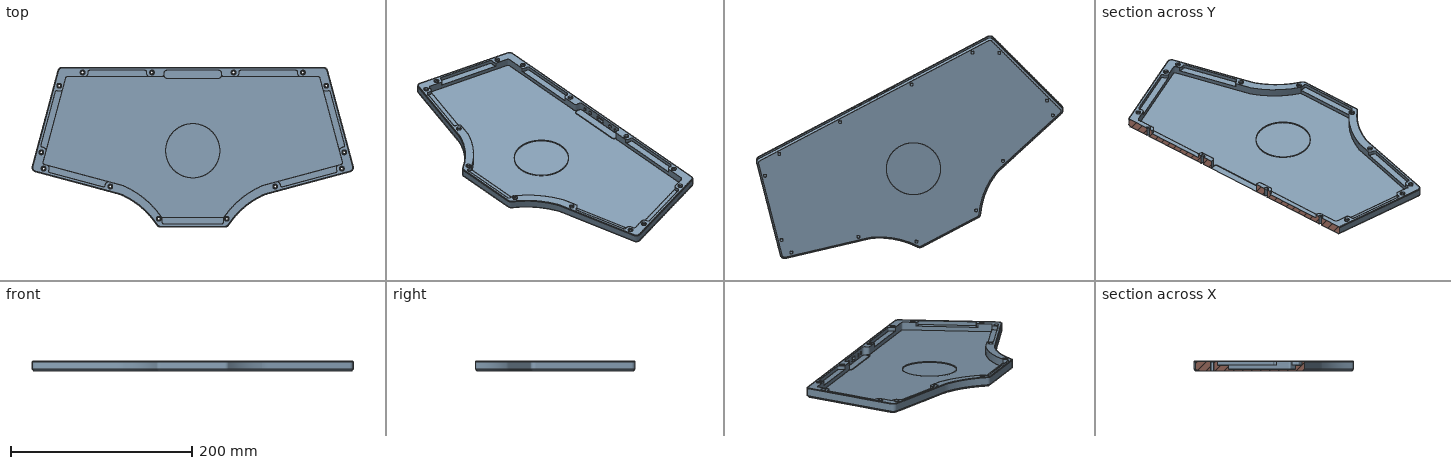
import cadquery as cq
import math

LENGTH = 354.5
WIDTH = 176.0
HEIGHT = 11.0

SIDE_TILT = 15.0
CORNER_RADIUS = 5.0
WING_CORNER_Y = -22.5
WING_EDGE_LENGTH = 101.7
FOOT_HALF_LENGTH = 38.3
SCOOP_RADIUS = 90.0
SCOOP_BLEND_RADIUS = 35.5
TOP_CHAMFER = 0.7
BOTTOM_CHAMFER = 2.0

FLOOR = 2.0
RIM = 10.3
POCKET_CORNER_RADIUS = 2.0
POCKET_WING_LENGTH = 92.0
POCKET_FOOT_HALF_LENGTH = 34.0
POCKET_SCOOP_RADIUS = 99.2

HOLE_INSET = 5.5
HOLE_DIAMETER = 3.2
HOLE_MOUTH_DIAMETER = 5.3
BOSS_DIAMETER = 12.0
LEDGE_DEPTH = 4.3
OUTER_WALL = 3.2
LEDGE_CORNER_RADIUS = 1.8
BACK_HOLES = (45.0, 121.5)
SIDE_HOLES = (22.5, 98.5)
WING_HOLES = (12.8, 89.0)
FOOT_HOLE = (37.5, -79.0)
FOOT_LEDGE_LENGTH = 67.5

BAY_LENGTH = 63.0
BAY_WIDTH = 9.0
BAY_RADIUS = 3.0
BAY_MOUTH_RADIUS = 3.0
BAY_FLOOR_DEPTH = 0.7
PORT_Z = 5.3
SOCKET_LENGTH = 9.2
SOCKET_HEIGHT = 4.3
ROUND_PORTS = ((16.0, 4.0), (24.5, 3.2))

RECESS_DIAMETER = 60.0
RECESS_Y = -4.0
RECESS_DEPTH = 1.0

back_y = WIDTH / 2
foot_y = -WIDTH / 2
tilt = math.radians(SIDE_TILT)
along_side = (-math.sin(tilt), math.cos(tilt))
along_wing = (-math.cos(tilt), -math.sin(tilt))
tip_reach = CORNER_RADIUS * math.sqrt(2)
tip_angle = tilt - math.pi / 4
tip = (
    LENGTH / 2 - CORNER_RADIUS + tip_reach * math.cos(tip_angle),
    WING_CORNER_Y + tip_reach * math.sin(tip_angle),
)


def edge_point(start, along, inward, distance, inset):
    return tuple(start[i] + distance * along[i] + inset * inward[i] for i in range(2))


def mirrored(point):
    return (-point[0], point[1])


def with_mirrors(points):
    return [p for point in points for p in (point, mirrored(point))]


def arc_middle(start, end, radius):
    """Middle of the arc that bulges to the left of the way from start to end."""
    dx, dy = end[0] - start[0], end[1] - start[1]
    chord = math.hypot(dx, dy)
    rise = radius - math.sqrt(radius**2 - chord**2 / 4)
    return ((start[0] + end[0]) / 2 - rise * dy / chord, (start[1] + end[1]) / 2 + rise * dx / chord)


def key_points(inset, wing_length, foot_half_length):
    """Sharp corners on the right half, from back to front, moved inward by the inset."""
    inset_tip = edge_point(tip, along_side, along_wing, inset, inset)
    side_length = (back_y - inset - inset_tip[1]) / along_side[1]
    back_corner = edge_point(inset_tip, along_side, along_wing, side_length, 0)
    scoop_start = edge_point(inset_tip, along_wing, along_side, wing_length, 0)
    scoop_end = (foot_half_length, foot_y + inset)
    return back_corner, inset_tip, scoop_start, scoop_end


def sharp_outline(points, scoop_radius):
    back_corner, wing_tip, scoop_start, scoop_end = points
    scoop_middle = arc_middle(scoop_end, scoop_start, scoop_radius)
    return (
        cq.Workplane("XY")
        .moveTo(*back_corner)
        .lineTo(*wing_tip)
        .lineTo(*scoop_start)
        .threePointArc(scoop_middle, scoop_end)
        .lineTo(*mirrored(scoop_end))
        .threePointArc(mirrored(scoop_middle), mirrored(scoop_start))
        .lineTo(*mirrored(wing_tip))
        .lineTo(*mirrored(back_corner))
        .close()
    )


def upright_edges_at(body, points):
    """Upright edges of the body that pass next to the given points."""
    reach = 1.8
    return body.edges("|Z").filter(
        lambda edge: any(
            math.hypot(edge.Center().x - x, edge.Center().y - y) < reach for x, y in points
        )
    )


def plate():
    points = key_points(0, WING_EDGE_LENGTH, FOOT_HALF_LENGTH)
    back_corner, wing_tip, scoop_start, scoop_end = points
    body = sharp_outline(points, SCOOP_RADIUS).extrude(HEIGHT)
    body = upright_edges_at(body, with_mirrors([scoop_start])).fillet(SCOOP_BLEND_RADIUS)
    body = upright_edges_at(body, with_mirrors([back_corner, wing_tip, scoop_end])).fillet(CORNER_RADIUS)
    body = body.faces(">Z").chamfer(TOP_CHAMFER)
    return body.faces("<Z").chamfer(BOTTOM_CHAMFER)


def main_pocket():
    points = key_points(RIM, POCKET_WING_LENGTH, POCKET_FOOT_HALF_LENGTH)
    pocket = sharp_outline(points, POCKET_SCOOP_RADIUS).extrude(HEIGHT - FLOOR)
    pocket = pocket.edges("|Z and (not <Y)").fillet(POCKET_CORNER_RADIUS)
    notch_width = 2 * (RIM - OUTER_WALL)
    notch = cq.Workplane("XY", origin=(0, back_y - RIM, 0)).rect(BAY_LENGTH, notch_width)
    pocket = pocket.union(notch.extrude(HEIGHT - FLOOR))
    pocket = pocket.edges("|Z and >Y").fillet(BAY_RADIUS)
    mouth = with_mirrors([(BAY_LENGTH / 2, back_y - RIM)])
    pocket = upright_edges_at(pocket, mouth).fillet(BAY_MOUTH_RADIUS)
    return pocket.translate((0, 0, FLOOR))


def rim_holes():
    centres = [(x, back_y - HOLE_INSET) for x in BACK_HOLES]
    centres += [edge_point(tip, along_side, along_wing, d, HOLE_INSET) for d in SIDE_HOLES]
    centres += [edge_point(tip, along_wing, along_side, d, HOLE_INSET) for d in WING_HOLES]
    centres.append(FOOT_HOLE)
    return with_mirrors(centres)


def ledge_blank(length):
    """Ledge cut centred on its outer edge, which lies on the X axis; it reaches inward to -Y."""
    width = RIM - OUTER_WALL
    ledge = cq.Workplane("XY", origin=(0, -width / 2, HEIGHT)).rect(length, width)
    return ledge.extrude(-LEDGE_DEPTH)


def ledge_between_holes(spacing):
    """Ledge that stops at the round bosses of two holes."""
    bosses = (
        cq.Workplane("XY")
        .pushPoints(with_mirrors([(spacing / 2, OUTER_WALL - HOLE_INSET)]))
        .circle(BOSS_DIAMETER / 2)
        .extrude(HEIGHT)
    )
    ledge = ledge_blank(spacing).cut(bosses)
    return ledge.edges("|Z and >Y").fillet(LEDGE_CORNER_RADIUS)


def placed(ledge, turn, place):
    return ledge.rotate((0, 0, 0), (0, 0, 1), turn).translate(place)


def ledges():
    back = ledge_between_holes(BACK_HOLES[1] - BACK_HOLES[0])
    back = placed(back, 0, (sum(BACK_HOLES) / 2, back_y - OUTER_WALL))
    side = ledge_between_holes(SIDE_HOLES[1] - SIDE_HOLES[0])
    side_middle = edge_point(tip, along_side, along_wing, sum(SIDE_HOLES) / 2, OUTER_WALL)
    side = placed(side, SIDE_TILT - 90, side_middle)
    wing = ledge_between_holes(WING_HOLES[1] - WING_HOLES[0])
    wing_middle = edge_point(tip, along_wing, along_side, sum(WING_HOLES) / 2, OUTER_WALL)
    wing = placed(wing, 180 + SIDE_TILT, wing_middle)
    foot = ledge_blank(FOOT_LEDGE_LENGTH).edges("|Z and >Y").fillet(LEDGE_CORNER_RADIUS)
    cuts = placed(foot, 180, (0, foot_y + OUTER_WALL))
    for ledge in (back, side, wing):
        cuts = cuts.add(ledge).add(ledge.mirror("YZ"))
    return cuts


def screw_holes():
    bores = cq.Workplane("XY").pushPoints(rim_holes()).circle(HOLE_DIAMETER / 2).extrude(HEIGHT)
    sink_depth = (HOLE_MOUTH_DIAMETER - HOLE_DIAMETER) / 2
    sinks = (
        cq.Workplane("XY", origin=(0, 0, HEIGHT))
        .pushPoints(rim_holes())
        .circle(HOLE_MOUTH_DIAMETER / 2)
        .extrude(-sink_depth, taper=45)
    )
    return bores.add(sinks)


def bay_floor():
    bay = cq.Workplane("XY", origin=(0, back_y - OUTER_WALL - BAY_WIDTH / 2, FLOOR))
    bay = bay.rect(BAY_LENGTH, BAY_WIDTH).extrude(-BAY_FLOOR_DEPTH)
    return bay.edges("|Z").fillet(BAY_RADIUS)


def ports():
    wall_face = cq.Workplane("XZ", origin=(0, back_y, PORT_Z))
    depth = OUTER_WALL + BAY_WIDTH / 2
    cuts = wall_face.rect(SOCKET_LENGTH, SOCKET_HEIGHT).extrude(depth)
    for place, diameter in ROUND_PORTS:
        sites = with_mirrors([(place, 0)])
        cuts = cuts.add(wall_face.pushPoints(sites).circle(diameter / 2).extrude(depth))
    return cuts


def floor_recess():
    disc = cq.Workplane("XY", origin=(0, RECESS_Y, FLOOR)).circle(RECESS_DIAMETER / 2)
    return disc.extrude(-RECESS_DEPTH)


body = plate().cut(main_pocket())
for cuts in (bay_floor(), ledges(), screw_holes(), ports(), floor_recess()):
    for cut in cuts.vals():
        body = body.cut(cq.Workplane(cut))
result = body